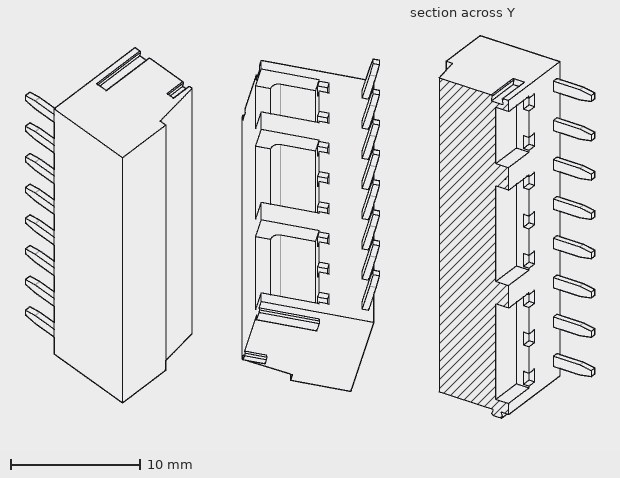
import cadquery as cq

pole_count = 8
total_height = 28.55
body_height = 28.0
pitch = body_height / pole_count
body_width = 7.4
body_depth = 9.0
shoulder_depth = 4.8
shoulder_width = 6.8
front_width = 6.17

pin_length = 3.5
pin_width = 0.9
pin_thickness = 0.5
pin_back_offset = 0.43
pin_tip_width = 0.55
pin_tip_length = 1.05

poles_per_pocket = (3, 3, 2)
pocket_wall = 2.03
pocket_length = 4.63
pocket_depth = 1.17
step_length = 1.2
step_round = 0.63
step_depth = pocket_depth + step_round

notch_length = 0.8
notch_width = 1.15
notch_depth = 0.5

dovetail_height = total_height - body_height
tongue_undercut = 0.15
groove_undercut = 0.09
large_dovetail = dict(x=1.05, bulge=1.05, length=4.8)
small_dovetail = dict(x=5.5, bulge=0.7, length=1.75)


def pole_z(pole):
    """Centre height of a pole, counted from the lower end."""
    return (pole + 0.5) * pitch


def make_housing():
    """Block with a step and a taper on the side away from the pins."""
    return (
        cq.Workplane("XY")
        .moveTo(0, 0)
        .lineTo(body_width, 0)
        .lineTo(body_width, shoulder_depth)
        .lineTo(shoulder_width, shoulder_depth)
        .lineTo(front_width, body_depth)
        .lineTo(0, body_depth)
        .close()
        .extrude(body_height)
    )


def make_pocket(first_pole, poles):
    """Pocket with a deeper strip along the front edge and a rounded step."""
    step_y = body_depth - step_length
    return (
        cq.Workplane("XY", origin=(0, 0, first_pole * pitch + pocket_wall / 2))
        .moveTo(0, body_depth)
        .lineTo(step_depth, body_depth)
        .lineTo(step_depth, step_y)
        .radiusArc((pocket_depth, step_y - step_round), -step_round)
        .lineTo(pocket_depth, body_depth - pocket_length)
        .lineTo(0, body_depth - pocket_length)
        .close()
        .extrude(poles * pitch - pocket_wall)
    )


def make_notch(pole):
    """Shallow rectangular cut that opens into the back edge of a pocket."""
    notch_y = body_depth - pocket_length - notch_length
    return (
        cq.Workplane("XY", origin=(0, notch_y, pole_z(pole) - notch_width / 2))
        .box(notch_depth, notch_length, notch_width, centered=False)
    )


def make_pin(pole):
    """Flat pin that stands out of the pin face and narrows to its tip."""
    taper_start = pin_tip_length - pin_length
    return (
        cq.Workplane("XZ", origin=(0, pin_back_offset, pole_z(pole)))
        .moveTo(0, -pin_width / 2)
        .lineTo(0, pin_width / 2)
        .lineTo(taper_start, pin_width / 2)
        .lineTo(-pin_length, pin_tip_width / 2)
        .lineTo(-pin_length, -pin_tip_width / 2)
        .lineTo(taper_start, -pin_width / 2)
        .close()
        .extrude(-pin_thickness)
    )


def extrude_dovetail(half_profile, x, length):
    """Bar along Y up to the front face, from the right half of a symmetric profile."""
    mirrored = [(-half_x, z) for half_x, z in reversed(half_profile)]
    return (
        cq.Workplane("XZ", origin=(x, body_depth - length, 0))
        .polyline(half_profile + mirrored)
        .close()
        .extrude(-length)
    )


def make_tongue(x, bulge, length):
    """Tongue below Z = 0 that widens from its neck and has a chamfered tip."""
    half_bulge = bulge / 2
    half_neck = half_bulge - tongue_undercut
    profile = [
        (half_neck, 0),
        (half_bulge, tongue_undercut - dovetail_height),
        (half_neck, -dovetail_height),
    ]
    return extrude_dovetail(profile, x, length)


def make_groove(x, bulge, length):
    """Groove below the upper end with a chamfered mouth, a neck and a wide floor."""
    half_bulge = bulge / 2
    profile = [
        (half_bulge, body_height),
        (half_bulge - groove_undercut, body_height - groove_undercut),
        (half_bulge, body_height - dovetail_height),
    ]
    return extrude_dovetail(profile, x, length)


result = make_housing()

first_pole = 0
for poles in poles_per_pocket:
    result = result.cut(make_pocket(first_pole, poles))
    first_pole += poles

for pole in range(pole_count):
    result = result.cut(make_notch(pole))
    result = result.union(make_pin(pole))

for dovetail in (large_dovetail, small_dovetail):
    result = result.cut(make_groove(**dovetail))
    result = result.union(make_tongue(**dovetail))